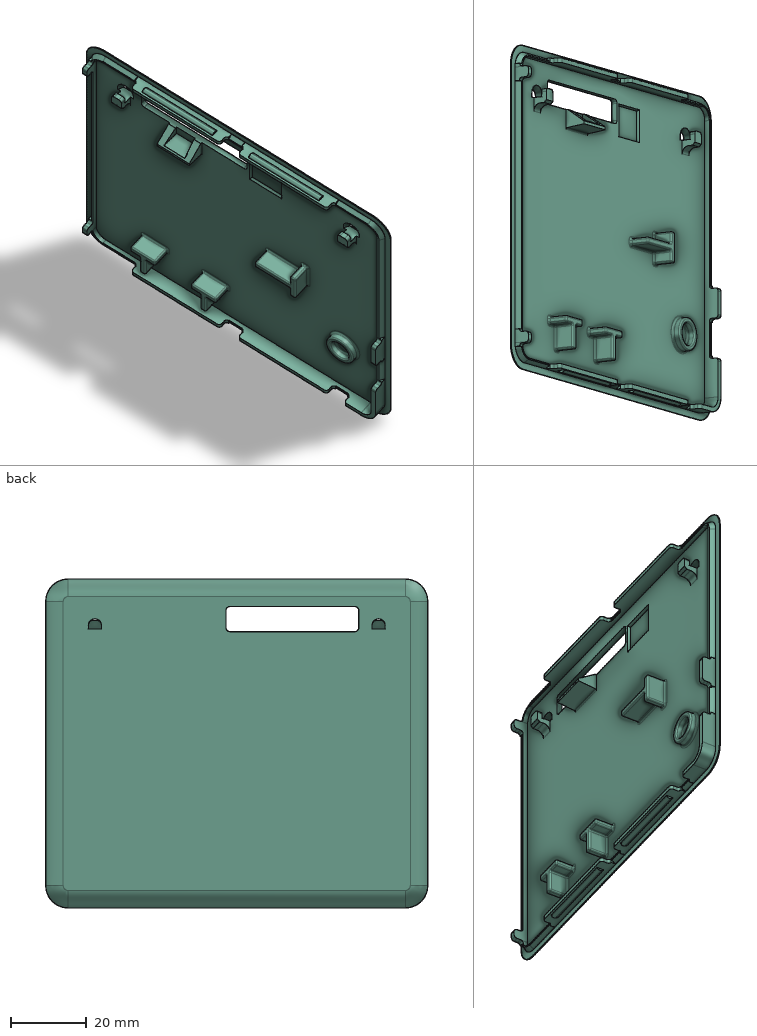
import cadquery as cq
import math

width = 100.7
height = 86.7
depth = 7.2
back_y = depth / 2
tip_y = -depth / 2

plate_thickness = 1.6
corner_radius = 5.9
dome_width = 4.6
edge_drop = 1.3
floor_y = back_y - plate_thickness

rim_width = 1.8
side_wall_thickness = 1.5
end_wall_thickness = 1.2
wall_height = 1.4
wall_slope_width = 0.9
wall_land = 0.02
wall_radius = 4.6
wall_inner_radius = 3.2
crest_drop = 0.15
wall_half_x = width / 2 - rim_width
wall_half_z = height / 2 - rim_width

tab_height = 4.1
tab_corner_radius = 0.9
tab_flare_radius = 0.8
long_tab_start = 3.0
long_tab_end = 32.4
left_tab_bottom = 34.0
left_tab_top = 37.1
right_tab_bottom = -15.9
right_tab_top = -7.9
corner_tab_left = 38.1
corner_tab_top = -26.6

ridge_length = 23.4
ridge_x = 17.6
ridge_back_y = 0.5
ridge_front_y = -1.5
ridge_edge_y = -0.1
ridge_edge_height = 0.4
ridge_crown_y = -0.7
ridge_crown_height = 0.6

window_left = -32.1
window_right = 2.8
window_bottom = 29.5
window_top = 36.1
window_radius = 1.0
recess_left = 3.7
recess_right = 14.3
recess_bottom = 26.3
recess_top = 35.0
recess_depth = 0.8
recess_taper = 20.0

catch_x = -17.4
catch_width = 10.7
catch_bottom = 24.6
catch_top = window_bottom + 0.3
catch_tip_top = 26.0
catch_tip_y = -3.5
catch_tip_height = 0.8
catch_root_fillet = 0.4
catch_pocket_width = 6.9
catch_pocket_bottom = 26.3
catch_pocket_taper = 5.0

hook_x = 37.4
keyhole_radius = 2.6
keyhole_top = 33.7
keyhole_bottom = 30.2
keyhole_taper = 30.0
hook_width = 3.3
hook_top = 32.4
hook_bottom = 28.6
hook_back_y = -0.4
hook_front_y = -1.9
hook_chamfer = 0.7
hook_top_fillet = 0.9
hook_root_radius = 2.0

rib_thickness = 1.8
rib_bar_length = 8.3
rib_corner_fillet = 0.5
rib_top_fillet = 0.45
root_fillet = 0.6
lower_rib_top = -27.4
lower_rib_length = 8.4
lower_rib_xs = (-27.5, -7.5)
side_rib_right = 23.1
side_rib_length = 13.5
side_rib_z = -1.0

ring_x = 35.1
ring_z = -22.0
ring_outer_radius = 4.4
ring_inner_radius = 3.0
ring_height = 2.3
ring_top_fillet = 0.4


def front_plane(y):
    """Sketch plane at depth y: local x is X, local y is Z, extrusion runs forward (-Y)."""
    return cq.Workplane("XZ", origin=(0, y, 0))


def box(x0, x1, y0, y1, z0, z1):
    """Box between two opposite corners."""
    return cq.Workplane("XY").box(x1 - x0, y1 - y0, z1 - z0, centered=False).translate((x0, y0, z0))


def rounded_prism(half_x, half_z, radius, y, length):
    """Rounded rectangle extruded forward from depth y."""
    prism = front_plane(y).rect(2 * half_x, 2 * half_z).extrude(length)
    return prism.edges("|Y").fillet(radius)


def make_plate():
    """Flat plate whose back falls away in an arc along the whole outer edge."""
    plate = rounded_prism(width / 2, height / 2, corner_radius, back_y, plate_thickness)
    dome_radius = (dome_width**2 + edge_drop**2) / (2 * edge_drop)
    half_angle = math.asin(dome_width / dome_radius) / 2
    outer_z = height / 2
    arc_middle = (
        back_y - dome_radius * (1 - math.cos(half_angle)),
        outer_z - dome_width + dome_radius * math.sin(half_angle),
    )
    clearance = 1.0
    waste = (
        cq.Workplane("YZ")
        .moveTo(back_y, outer_z - dome_width)
        .threePointArc(arc_middle, (back_y - edge_drop, outer_z))
        .lineTo(back_y - edge_drop, outer_z + clearance)
        .lineTo(back_y + clearance, outer_z + clearance)
        .lineTo(back_y + clearance, outer_z - dome_width)
        .close()
    )
    half_x = width / 2
    straight_x = half_x - corner_radius
    straight_z = outer_z - corner_radius
    diagonal = corner_radius * math.sqrt(0.5)
    path = (
        front_plane(back_y)
        .moveTo(0, outer_z)
        .lineTo(straight_x, outer_z)
        .threePointArc((straight_x + diagonal, straight_z + diagonal), (half_x, straight_z))
        .lineTo(half_x, -straight_z)
        .threePointArc((straight_x + diagonal, -straight_z - diagonal), (straight_x, -outer_z))
        .lineTo(-straight_x, -outer_z)
        .threePointArc((-straight_x - diagonal, -straight_z - diagonal), (-half_x, -straight_z))
        .lineTo(-half_x, straight_z)
        .threePointArc((-straight_x - diagonal, straight_z + diagonal), (-straight_x, outer_z))
        .close()
    )
    return plate.cut(waste.sweep(path))


def wall_outline(y, length):
    return rounded_prism(wall_half_x, wall_half_z, wall_radius, y, length)


def wall_inside(length):
    return rounded_prism(
        wall_half_x - side_wall_thickness,
        wall_half_z - end_wall_thickness,
        wall_inner_radius,
        floor_y,
        length,
    )


def make_low_wall():
    """Closed wall leaning inward toward the front; its top and bottom runs have a rounded crest."""
    outer = wall_outline(floor_y, wall_height).faces("<Y").edges()
    outer = outer.chamfer(wall_height - wall_land, wall_slope_width)
    low_wall = outer.cut(wall_inside(wall_height))

    crest_y = floor_y - wall_height
    shoulder_y = crest_y + crest_drop
    shoulder_z = wall_half_z - wall_slope_width * (1 - crest_drop / wall_height)
    inner_z = wall_half_z - end_wall_thickness
    waste = (
        cq.Workplane("YZ")
        .moveTo(shoulder_y, shoulder_z)
        .threePointArc((crest_y, (shoulder_z + inner_z) / 2), (shoulder_y, inner_z))
        .lineTo(tip_y, inner_z)
        .lineTo(tip_y, shoulder_z)
        .close()
        .extrude(wall_half_x - wall_radius, both=True)
    )
    return low_wall.cut(waste).cut(waste.mirror("XY"))


def tab_block(start, end, along_x):
    """Tab outline from start to end along one axis, extruded across the whole part."""
    if along_x:
        plane = cq.Plane(origin=(0, floor_y, 0), xDir=(1, 0, 0), normal=(0, 0, -1))
    else:
        plane = cq.Plane(origin=(0, floor_y, 0), xDir=(0, 0, 1), normal=(1, 0, 0))
    flare = tab_flare_radius
    corner = tab_corner_radius
    return (
        cq.Workplane(plane)
        .moveTo(start - flare, 0)
        .lineTo(start - flare, wall_height)
        .radiusArc((start, wall_height + flare), -flare)
        .lineTo(start, tab_height - corner)
        .radiusArc((start + corner, tab_height), corner)
        .lineTo(end - corner, tab_height)
        .radiusArc((end, tab_height - corner), corner)
        .lineTo(end, wall_height + flare)
        .radiusArc((end + flare, wall_height), -flare)
        .lineTo(end + flare, 0)
        .close()
        .extrude(width, both=True)
    )


def make_tabs():
    """Tabs cut out of a full-height wall; the lower right corner tab wraps around the corner."""
    ring = wall_outline(floor_y, tab_height).cut(wall_inside(tab_height))
    right = box(wall_half_x - wall_radius, width, -depth, depth, -height, height)
    left = right.mirror("YZ")
    bottom = box(-width, width, -depth, depth, -height, wall_radius - wall_half_z)
    top = bottom.mirror("XY")
    top_and_bottom = top.union(bottom)
    long_tab = tab_block(long_tab_start, long_tab_end, True)
    left_tab = tab_block(left_tab_bottom, left_tab_top, False)
    beyond = width
    tabs = (
        long_tab.union(long_tab.mirror("YZ")).intersect(top_and_bottom)
        .union(left_tab.union(left_tab.mirror("XY")).intersect(left))
        .union(tab_block(right_tab_bottom, right_tab_top, False).intersect(right))
        .union(tab_block(corner_tab_left, beyond, True).intersect(bottom))
        .union(tab_block(-beyond, corner_tab_top, False).intersect(right))
    )
    return tabs.intersect(ring)


def make_ridges():
    """Rounded snap ridges on the top and bottom long tabs."""
    root_z = wall_half_z - end_wall_thickness / 2
    ridge = (
        cq.Workplane("YZ")
        .moveTo(ridge_back_y, wall_half_z)
        .lineTo(ridge_edge_y, wall_half_z + ridge_edge_height)
        .threePointArc((ridge_crown_y, wall_half_z + ridge_crown_height), (ridge_front_y, wall_half_z))
        .lineTo(ridge_front_y, root_z)
        .lineTo(ridge_back_y, root_z)
        .close()
        .extrude(ridge_length / 2, both=True)
    )
    pair = ridge.translate((ridge_x, 0, 0)).union(ridge.translate((-ridge_x, 0, 0)))
    return pair.union(pair.mirror("XY"))


def make_window():
    window = box(window_left, window_right, -depth, depth, window_bottom, window_top)
    return window.edges("|Y").fillet(window_radius)


def make_recess():
    """Shallow rectangular recess with drafted sides, sunk back from the floor."""
    return (
        front_plane(floor_y)
        .center((recess_left + recess_right) / 2, (recess_bottom + recess_top) / 2)
        .rect(recess_right - recess_left, recess_top - recess_bottom)
        .extrude(-recess_depth, taper=recess_taper)
    )


def make_catch_wedge():
    """Solid wedge whose slope runs from its tip up to the bottom edge of the window."""
    return (
        cq.Workplane("YZ")
        .moveTo(floor_y, catch_bottom)
        .lineTo(floor_y, catch_top)
        .lineTo(catch_tip_y, catch_tip_top)
        .lineTo(catch_tip_y, catch_tip_top - catch_tip_height)
        .close()
        .extrude(catch_width / 2, both=True)
        .translate((catch_x, 0, 0))
    )


def make_catch_pocket():
    """Drafted pocket that hollows the wedge from its slope down to the floor."""
    return (
        front_plane(catch_tip_y)
        .center(catch_x, (catch_pocket_bottom + window_top) / 2)
        .rect(catch_pocket_width, window_top - catch_pocket_bottom)
        .extrude(catch_tip_y - floor_y, taper=catch_pocket_taper)
    )


def make_keyhole():
    """Arched hole narrowing toward the back, flat at the bottom."""
    arch_z = keyhole_top - keyhole_radius
    skirt_z = keyhole_bottom - keyhole_radius
    arch = (
        front_plane(floor_y)
        .moveTo(-keyhole_radius, skirt_z)
        .lineTo(-keyhole_radius, arch_z)
        .threePointArc((0, keyhole_top), (keyhole_radius, arch_z))
        .lineTo(keyhole_radius, skirt_z)
        .close()
        .extrude(-plate_thickness, taper=keyhole_taper)
    )
    return arch.intersect(box(-width, width, -depth, depth, keyhole_bottom, height))


def make_hook():
    """Upward hook: a lip in front of the keyhole on a root curving into the floor."""
    return (
        cq.Workplane("YZ")
        .moveTo(hook_back_y, hook_top)
        .lineTo(hook_front_y, hook_top)
        .lineTo(hook_front_y, hook_bottom + hook_chamfer)
        .lineTo(hook_front_y + hook_chamfer, hook_bottom)
        .lineTo(floor_y - hook_root_radius, hook_bottom)
        .radiusArc((floor_y, hook_bottom - hook_root_radius), hook_root_radius)
        .lineTo(floor_y, keyhole_bottom)
        .lineTo(hook_back_y, keyhole_bottom)
        .close()
        .extrude(hook_width / 2, both=True)
        .faces(">Z")
        .edges("|Y")
        .fillet(hook_top_fillet)
    )


def make_rib(length):
    """T rib with its bar centred on X = 0, its top at Z = 0 and its stem hanging below."""
    bar = box(-rib_bar_length / 2, rib_bar_length / 2, tip_y, floor_y, -rib_thickness, 0)
    stem = box(-rib_thickness / 2, rib_thickness / 2, tip_y, floor_y, -length, 0)
    rib = bar.union(stem).edges("|Y").fillet(rib_corner_fillet)
    return rib.faces("<Y").edges().fillet(rib_top_fillet)


def make_ring():
    ring = (
        front_plane(floor_y)
        .center(ring_x, ring_z)
        .circle(ring_outer_radius)
        .circle(ring_inner_radius)
        .extrude(ring_height)
    )
    return ring.faces("<Y").edges().fillet(ring_top_fillet)


def add_with_root_fillet(part, feature, radius, top=height):
    """Join a feature to the floor and round its floor edges that are centred below Z = top."""
    bounds = feature.val().BoundingBox()
    margin = 0.1
    root = cq.selectors.BoxSelector(
        (bounds.xmin - margin, floor_y - margin, bounds.zmin - margin),
        (bounds.xmax + margin, floor_y + margin, min(bounds.zmax + margin, top)),
        boundingbox=True,
    )
    return part.union(feature).edges(root).fillet(radius)


result = make_plate().union(make_low_wall()).union(make_tabs()).union(make_ridges())

for rib_x in lower_rib_xs:
    lower_rib = make_rib(lower_rib_length).translate((rib_x, 0, lower_rib_top))
    result = add_with_root_fillet(result, lower_rib, root_fillet)

side_rib = make_rib(side_rib_length).rotate((0, 0, 0), (0, 1, 0), 90)
side_rib = side_rib.translate((side_rib_right, 0, side_rib_z))
result = add_with_root_fillet(result, side_rib, root_fillet)

result = add_with_root_fillet(result, make_ring(), root_fillet)

result = add_with_root_fillet(result, make_catch_wedge(), catch_root_fillet, window_bottom)
result = result.cut(make_catch_pocket()).cut(make_window()).cut(make_recess())

for x in (-hook_x, hook_x):
    result = result.cut(make_keyhole().translate((x, 0, 0)))
    result = result.union(make_hook().translate((x, 0, 0)))